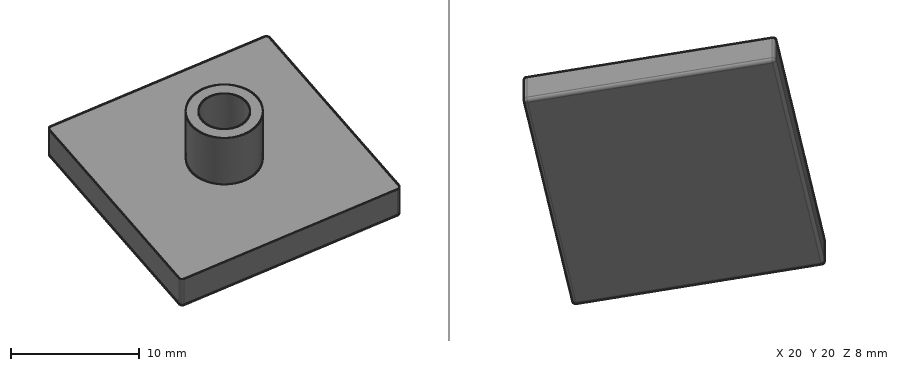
import cadquery as cq

plate_side = 20.0
plate_thickness = 3.0
edge_radius = 0.3

total_height = 8.0
boss_height = total_height - plate_thickness
boss_diameter = 6.0
bore_diameter = 4.0
bore_depth = boss_height


def make_plate():
    """Plate with its bottom on Z = 0, rounded on the upright and bottom edges."""
    plate = cq.Workplane("XY").box(
        plate_side, plate_side, plate_thickness, centered=(True, True, False)
    )
    return plate.edges("|Z or <Z").fillet(edge_radius)


def add_boss(plate):
    """Add the central boss and its blind bore, which ends level with the plate top."""
    boss = cq.Workplane("XY", origin=(0, 0, plate_thickness)).circle(boss_diameter / 2).extrude(boss_height)
    bore = (
        cq.Workplane("XY", origin=(0, 0, total_height))
        .circle(bore_diameter / 2)
        .extrude(-bore_depth)
    )
    return plate.union(boss).cut(bore)


result = add_boss(make_plate())